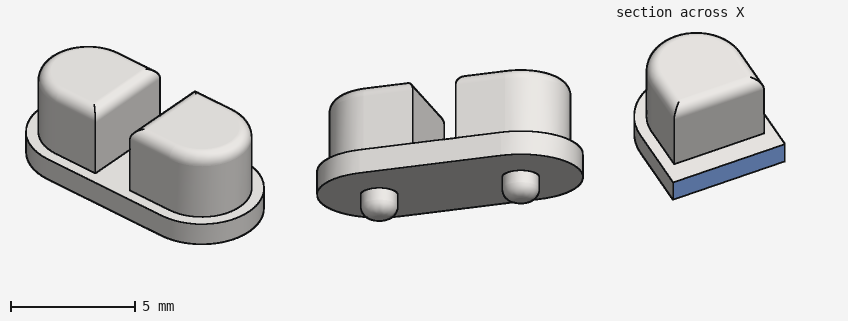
import cadquery as cq

length = 11.0
width = 5.0
base_thickness = 1.0

rim = 0.5
button_height = 3.0
button_gap = 1.82
button_fillet = 0.5

peg_diameter = 1.5
peg_length = 1.0
peg_fillet = 0.5

end_offset = (length - width) / 2
button_radius = width / 2 - rim


def make_base():
    return cq.Workplane("XY").slot2D(length, width).extrude(base_thickness)


def make_left_button():
    flat_x = -button_gap / 2
    return (
        cq.Workplane("XY")
        .workplane(offset=base_thickness)
        .moveTo(flat_x, button_radius)
        .lineTo(-end_offset, button_radius)
        .threePointArc((-end_offset - button_radius, 0), (-end_offset, -button_radius))
        .lineTo(flat_x, -button_radius)
        .close()
        .extrude(button_height)
        .faces(">Z")
        .edges()
        .fillet(button_fillet)
    )


def make_left_peg():
    return (
        cq.Workplane("XY")
        .center(-end_offset, 0)
        .circle(peg_diameter / 2)
        .extrude(-peg_length)
        .faces("<Z")
        .edges()
        .fillet(peg_fillet)
    )


result = make_base()
for feature in (make_left_button(), make_left_peg()):
    result = result.union(feature).union(feature.mirror("YZ"))